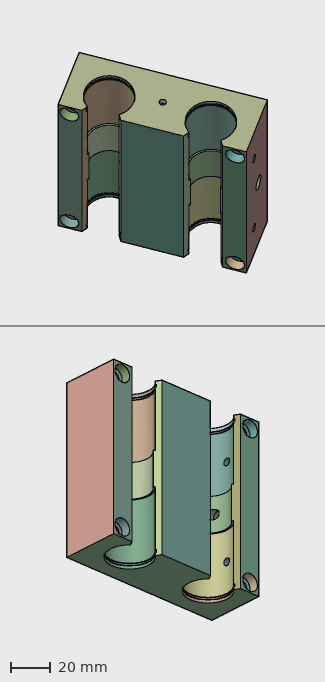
import cadquery as cq
import math

width = 100.0
depth = 35.0
height = 100.0

bore_spacing = 54.0
bore_y = 13.0
bore_radius = 13.0
bore_xs = (-bore_spacing / 2, bore_spacing / 2)

mouth_angle = 60.0
mouth_front_width = 20.6

land_radius = 12.0
land_height = 21.0

groove_radius = 13.6
groove_width = 1.3
groove_offset = 2.0

bolt_inset = 6.0
bolt_diameter = 5.3
counterbore_diameter = 10.0
counterbore_depth = 5.5

screw_hole_diameter = 4.2
grease_hole_diameter = 6.0
grease_port_diameter = 8.0
grease_hole_y = 20.0

top_hole_diameter = 1.5
top_countersink_angle = 60.0
top_hole_mouth_diameter = 3.6
top_hole_depth = 12.0

bottom_z = -height / 2


def cylinder_z(x, y, radius, z_start, length):
    return cq.Workplane("XY", origin=(x, y, z_start)).circle(radius).extrude(length)


def mouth_wedge(x):
    """Triangular prism along Z, widest at the front face, with its apex inside the bore."""
    half_front = mouth_front_width / 2
    apex_y = half_front / math.tan(math.radians(mouth_angle / 2))
    outline = [(-half_front, 0), (half_front, 0), (0, apex_y)]
    return cq.Workplane("XY", origin=(x, 0, bottom_z)).polyline(outline).close().extrude(height)


def bearing_bore(x):
    """Everything removed for one bore: two bearing seats, the land, the ring grooves and the mouth."""
    seat_length = (height - land_height) / 2
    cutter = cylinder_z(x, bore_y, land_radius, bottom_z, height)
    for z in (bottom_z, land_height / 2):
        cutter = cutter.union(cylinder_z(x, bore_y, bore_radius, z, seat_length))
    groove_start = height / 2 - groove_offset - groove_width
    for z in (bottom_z + groove_offset, groove_start):
        cutter = cutter.union(cylinder_z(x, bore_y, groove_radius, z, groove_width))
    return cutter.union(mouth_wedge(x))


def cross_hole(x_start, y, z, diameter):
    """Hole along X from x_start out through the +X side face."""
    start = cq.Workplane("YZ", origin=(x_start, y, z))
    return start.circle(diameter / 2).extrude(width / 2 - x_start)


result = cq.Workplane("XY").box(width, depth, height, centered=(True, False, True))
for bore_x in bore_xs:
    result = result.cut(bearing_bore(bore_x))

bolt_pitch_x = width - 2 * bolt_inset
bolt_pitch_z = height - 2 * bolt_inset
result = (
    result.copyWorkplane(cq.Workplane("XZ"))
    .rarray(bolt_pitch_x, bolt_pitch_z, 2, 2)
    .cboreHole(bolt_diameter, counterbore_diameter, counterbore_depth)
)

cross_hole_start = bore_spacing / 2
seat_middle_z = (land_height / 2 + height / 2 - groove_offset - groove_width) / 2
for screw_z in (-seat_middle_z, seat_middle_z):
    result = result.cut(cross_hole(cross_hole_start, bore_y, screw_z, screw_hole_diameter))

port_start = bore_spacing / 2 + bore_radius
result = result.cut(cross_hole(cross_hole_start, grease_hole_y, 0, grease_hole_diameter))
result = result.cut(cross_hole(port_start, grease_hole_y, 0, grease_port_diameter))

result = (
    result.copyWorkplane(cq.Workplane("XY", origin=(0, depth / 2, height / 2)))
    .cskHole(top_hole_diameter, top_hole_mouth_diameter, top_countersink_angle, top_hole_depth)
)